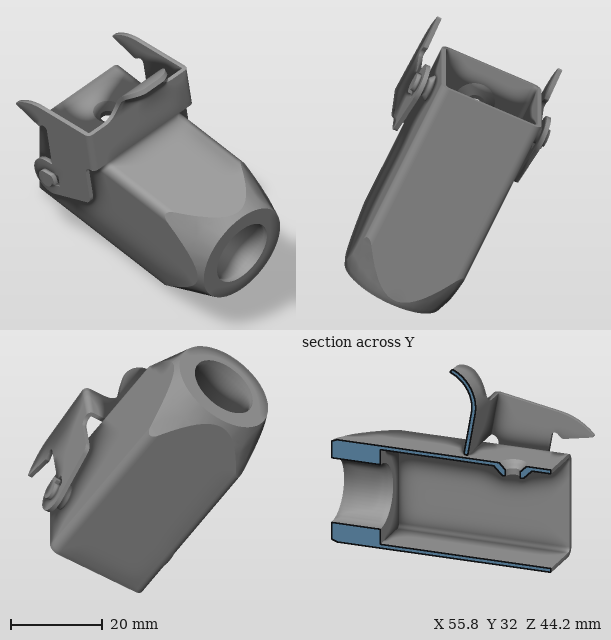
import cadquery as cq
import math

HOOD_LENGTH = 51.5
HOOD_WIDTH = 24.0
HOOD_CORNER_RADIUS = 2.0
WALL = 1.0
CAVITY_WIDTH = HOOD_WIDTH - 2 * WALL
CAVITY_CORNER_RADIUS = HOOD_CORNER_RADIUS - WALL
CAVITY_DEPTH = 40.0
CABLE_HOLE_DIAMETER = 15.0

CONE_TOUCH_X = 50.15
CONE_HALF_ANGLE = 21.0

SCREW_X = 9.0
SCREW_DIAMETER = 3.3
SINK_DIAMETER = 6.4
SINK_DEPTH = (SINK_DIAMETER - SCREW_DIAMETER) / 2
SEAT_DEPTH = 2.0
SEAT_TOP_DIAMETER = 9.0
SEAT_BOTTOM_DIAMETER = SEAT_TOP_DIAMETER - 2 * SEAT_DEPTH

PIVOT_X = 6.0
PIN_RADIUS = 2.0
PIN_BASE_RADIUS = 3.0
PIN_BASE_HEIGHT = 0.2
PIN_CONE_HEIGHT = PIN_BASE_RADIUS - PIN_RADIUS
PIN_TIP_Y = 16.0
NIB_RADIUS = 3.0
NIB_BOTTOM_Z = 0.35

SWING_ANGLE = 10.0
SHEET = 1.0
LEVER_HALF_WIDTH = 15.0
CHEEK_INNER_Y = LEVER_HALF_WIDTH - SHEET
BEND_INNER_RADIUS = 0.2
BEND_OUTER_RADIUS = BEND_INNER_RADIUS + SHEET
BACK_OUTER_U = 16.5
BACK_INNER_U = BACK_OUTER_U - SHEET
BACK_BOTTOM_V = 10.0
LEVER_TOP_V = 20.0

EYE_RADIUS = 4.5
EYE_SLOT_END_U = 3.5
LOWER_EDGE_ANGLE = 17.5
REAR_U = 13.5
REAR_CORNER_RADIUS = 2.0
RELIEF_RADIUS = 1.75
FRONT_U = 2.0

HOOK_BACK_START_U = 1.1
HOOK_BACK_RADIUS = 14.0
HOOK_TIP_U = -7.8
HOOK_TIP_RADIUS = 0.3
HOOK_HEEL_U = -0.7
HOOK_HEEL_V = 14.1
HOOK_HEEL_RADIUS = 0.4
NOTCH_RADIUS = 0.9
NOTCH_CENTER_V = 14.15

TAB_OUTER_RADIUS = 9.0
TAB_INNER_RADIUS = TAB_OUTER_RADIUS - SHEET
TAB_HALF_WIDTH = 6.0
TAB_CORNER_RADIUS = 4.0
TAB_END_ANGLE = 103.3
TAB_TRIM_ANGLE = 35.0
TRIM_REACH = 30.0


def polar(center, radius, degrees):
    angle = math.radians(degrees)
    return (center[0] + radius * math.cos(angle), center[1] + radius * math.sin(angle))


def side_plane(y):
    """Plane at the given y, centered on the pivot, whose extrusions run toward -Y."""
    return cq.Workplane("XZ", origin=(PIVOT_X, y, 0))


def both_sides(shape):
    return shape.union(shape.mirror("XZ"))


def square_bar(width, length, corner_radius):
    bar = cq.Workplane("YZ").rect(width, width).extrude(length)
    return bar.edges("|X").fillet(corner_radius)


def hood():
    shell = square_bar(HOOD_WIDTH, HOOD_LENGTH, HOOD_CORNER_RADIUS)
    slope = math.tan(math.radians(CONE_HALF_ANGLE))
    touch_radius = HOOD_WIDTH / 2
    open_radius = touch_radius + CONE_TOUCH_X * slope
    end_radius = touch_radius - (HOOD_LENGTH - CONE_TOUCH_X) * slope
    trim_cone = (
        cq.Workplane("XY")
        .polyline([(0, 0), (0, open_radius), (HOOD_LENGTH, end_radius), (HOOD_LENGTH, 0)])
        .close()
        .revolve(360, (0, 0, 0), (1, 0, 0))
    )
    shell = shell.intersect(trim_cone)
    shell = shell.cut(square_bar(CAVITY_WIDTH, CAVITY_DEPTH, CAVITY_CORNER_RADIUS))
    cable_hole = cq.Workplane("YZ").circle(CABLE_HOLE_DIAMETER / 2).extrude(HOOD_LENGTH)
    return shell.cut(cable_hole)


def cone_down(top_z, top_diameter, bottom_diameter, depth):
    top = cq.Vector(SCREW_X, 0, top_z)
    down = cq.Vector(0, 0, -1)
    return cq.Workplane(cq.Solid.makeCone(top_diameter / 2, bottom_diameter / 2, depth, top, down))


def add_screw_seat(body):
    top_z = HOOD_WIDTH / 2
    ceiling_z = CAVITY_WIDTH / 2
    seat = cone_down(ceiling_z, SEAT_TOP_DIAMETER, SEAT_BOTTOM_DIAMETER, SEAT_DEPTH)
    sink = cone_down(top_z, SINK_DIAMETER, SCREW_DIAMETER, SINK_DEPTH)
    bore_plane = cq.Workplane("XY", origin=(SCREW_X, 0, top_z))
    bore = bore_plane.circle(SCREW_DIAMETER / 2).extrude(-WALL - SEAT_DEPTH)
    return body.union(seat).cut(sink).cut(bore)


def pivot_pin():
    """Round pin on the +Y side, with a wide base that tapers to the shank."""
    wall_y = HOOD_WIDTH / 2
    base_y = wall_y + PIN_BASE_HEIGHT
    cone_y = base_y + PIN_CONE_HEIGHT
    root_y = wall_y - WALL / 2
    profile = [
        (0, root_y),
        (PIN_BASE_RADIUS, root_y),
        (PIN_BASE_RADIUS, base_y),
        (PIN_RADIUS, cone_y),
        (PIN_RADIUS, PIN_TIP_Y),
        (0, PIN_TIP_Y),
    ]
    pin = cq.Workplane("XY").polyline(profile).close().revolve(360, (0, 0, 0), (0, 1, 0))
    return pin.translate((PIVOT_X, 0, 0))


def pin_nib():
    """Nib that keeps the +Y cheek on its pin: a disc cut flat above and below."""
    height = PIN_TIP_Y - LEVER_HALF_WIDTH
    plane = side_plane(PIN_TIP_Y)
    disc = plane.circle(NIB_RADIUS).extrude(height)
    slot_band = plane.rect(NIB_RADIUS, 2 * PIN_RADIUS, centered=(False, True)).extrude(height)
    step_plane = plane.center(0, NIB_BOTTOM_Z)
    above_step = step_plane.rect(2 * NIB_RADIUS, NIB_RADIUS, centered=(True, False)).extrude(height)
    return disc.intersect(swing(slot_band)).intersect(above_step)


def swing(shape):
    """Turn a shape about the pivot axis from the upright to the swung-open position."""
    return shape.rotate((PIVOT_X, 0, 0), (PIVOT_X, 1, 0), -SWING_ANGLE)


def tangent_line_v(radius, u):
    """Height at u of the lower edge line that touches a circle around the pivot."""
    angle = math.radians(LOWER_EDGE_ANGLE)
    return u * math.tan(angle) - radius / math.cos(angle)


def cheek_outline(plane):
    """Outline of one cheek: eye, rear edge, back, hook and notch."""
    pivot = (0, 0)
    lower_angle = LOWER_EDGE_ANGLE - 90
    back_center = (HOOK_BACK_START_U, LEVER_TOP_V - HOOK_BACK_RADIUS)
    tip_angle = 180 - math.degrees(math.acos((HOOK_BACK_START_U - HOOK_TIP_U) / HOOK_BACK_RADIUS))
    tip = polar(back_center, HOOK_BACK_RADIUS, tip_angle)
    back_middle = polar(back_center, HOOK_BACK_RADIUS, (90 + tip_angle) / 2)
    relief_center = (REAR_U + RELIEF_RADIUS, BACK_BOTTOM_V - RELIEF_RADIUS)
    notch_center = (FRONT_U - NOTCH_RADIUS, NOTCH_CENTER_V)
    return (
        plane.moveTo(*polar(pivot, EYE_RADIUS, 90))
        .threePointArc(polar(pivot, EYE_RADIUS, 180), polar(pivot, EYE_RADIUS, lower_angle))
        .lineTo(REAR_U, tangent_line_v(EYE_RADIUS, REAR_U))
        .lineTo(REAR_U, relief_center[1])
        .threePointArc(polar(relief_center, RELIEF_RADIUS, 135), polar(relief_center, RELIEF_RADIUS, 90))
        .lineTo(BACK_OUTER_U, BACK_BOTTOM_V)
        .lineTo(BACK_OUTER_U, LEVER_TOP_V)
        .lineTo(HOOK_BACK_START_U, LEVER_TOP_V)
        .threePointArc(back_middle, tip)
        .lineTo(HOOK_HEEL_U, HOOK_HEEL_V)
        .lineTo(*polar(notch_center, NOTCH_RADIUS, 135))
        .threePointArc(polar(notch_center, NOTCH_RADIUS, 90), polar(notch_center, NOTCH_RADIUS, 0))
        .lineTo(FRONT_U, EYE_RADIUS)
        .close()
    )


def eye_slot(plane):
    """Teardrop hole: round at the pin, with straight sides running to a flat end."""
    pivot = (0, 0)
    lower_angle = LOWER_EDGE_ANGLE - 90
    return (
        plane.moveTo(EYE_SLOT_END_U, PIN_RADIUS)
        .lineTo(0, PIN_RADIUS)
        .threePointArc(polar(pivot, PIN_RADIUS, 180), polar(pivot, PIN_RADIUS, lower_angle))
        .lineTo(EYE_SLOT_END_U, tangent_line_v(PIN_RADIUS, EYE_SLOT_END_U))
        .close()
    )


def edge_near(u, v):
    return cq.selectors.NearestToPointSelector((PIVOT_X + u, 0, v))


def bent_sheet():
    """Cheeks and back: the cheek profile across the full width, hollowed between the cheeks."""
    width = 2 * LEVER_HALF_WIDTH
    block = cheek_outline(side_plane(LEVER_HALF_WIDTH)).extrude(width)
    rear_corner_v = tangent_line_v(EYE_RADIUS, REAR_U)
    block = block.edges(edge_near(REAR_U, rear_corner_v)).fillet(REAR_CORNER_RADIUS)
    block = block.edges(edge_near(HOOK_HEEL_U, HOOK_HEEL_V)).fillet(HOOK_HEEL_RADIUS)
    block = block.edges("<X").fillet(HOOK_TIP_RADIUS)
    block = block.cut(eye_slot(side_plane(LEVER_HALF_WIDTH)).extrude(width))
    block = block.edges("|Z and >X").fillet(BEND_OUTER_RADIUS)

    depth = 2 * BACK_OUTER_U
    gap = cq.Workplane("XY").box(depth, 2 * CHEEK_INNER_Y, 2 * depth)
    gap = gap.edges("|Z and >X").fillet(BEND_INNER_RADIUS)
    return block.cut(gap.translate((PIVOT_X + BACK_INNER_U - depth / 2, 0, 0)))


def thumb_tab():
    center = (BACK_INNER_U + TAB_OUTER_RADIUS, LEVER_TOP_V)
    tip = polar(center, TAB_OUTER_RADIUS, TAB_END_ANGLE)
    foot_half_width = TAB_HALF_WIDTH + TAB_CORNER_RADIUS
    strip = (
        side_plane(foot_half_width)
        .moveTo(center[0] - TAB_OUTER_RADIUS, center[1])
        .threePointArc(polar(center, TAB_OUTER_RADIUS, 135), polar(center, TAB_OUTER_RADIUS, 90))
        .lineTo(*polar(center, TAB_INNER_RADIUS, 90))
        .threePointArc(polar(center, TAB_INNER_RADIUS, 135), polar(center, TAB_INNER_RADIUS, 180))
        .close()
        .extrude(2 * foot_half_width)
    )
    tongue = (
        cq.Workplane("XY", origin=(-TRIM_REACH / 2, 0, 0))
        .box(TRIM_REACH, 2 * TAB_HALF_WIDTH, 2 * TRIM_REACH)
        .edges("|Z and >X")
        .fillet(TAB_CORNER_RADIUS)
        .rotate((0, 0, 0), (0, 1, 0), -TAB_TRIM_ANGLE)
        .translate((PIVOT_X + tip[0], 0, tip[1]))
    )
    foot_plane = cq.Workplane("YZ", origin=(PIVOT_X, 0, LEVER_TOP_V))
    foot = foot_plane.rect(2 * foot_half_width, 2 * TAB_CORNER_RADIUS).extrude(TRIM_REACH)
    flare_centers = [(side * foot_half_width, TAB_CORNER_RADIUS) for side in (-1, 1)]
    flares = foot_plane.pushPoints(flare_centers).circle(TAB_CORNER_RADIUS).extrude(TRIM_REACH)
    return strip.intersect(tongue).union(strip.intersect(foot.cut(flares)))


def lever():
    return swing(bent_sheet().union(thumb_tab()))


pins = both_sides(pivot_pin().union(pin_nib()))
result = add_screw_seat(hood()).union(pins).union(lever())